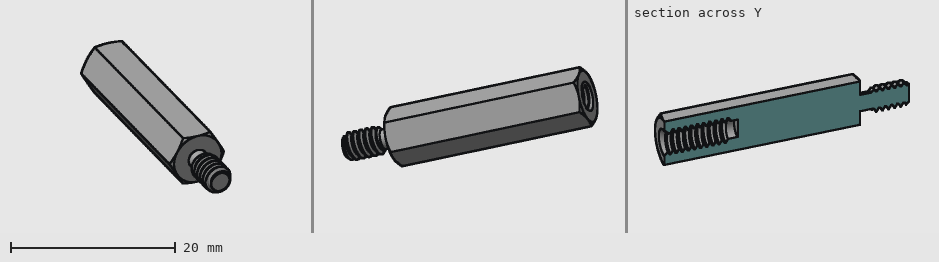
import cadquery as cq
import math


total_length = 31.75
body_length = 25.4
across_flats = 6.35
across_corners = across_flats / math.cos(math.radians(30))
corner_chamfer_angle = 30.0

pitch = 0.8
major_radius = 1.75
minor_radius = 1.222
crest_width = 0.1
flank_half_angle = 30.0
root_overlap = 0.03
stud_crest_x = 27.9

neck_length = 1.4
thread_start = body_length + neck_length
trim_radius = 2.1
trim_rise = trim_radius - minor_radius
trim_length = 4.75

hole_depth = 9.52
hole_thread_start = 0.38
hole_thread_length = 7.95
countersink_radius = 1.8
countersink_depth = countersink_radius - minor_radius


def revolved(profile):
    """Solid of revolution about X from (x, radius) points."""
    return cq.Workplane("XY").polyline(profile).close().revolve(360, (0, 0, 0), (1, 0, 0))


def hex_body():
    hexagon = cq.Workplane("YZ").polygon(6, across_corners).extrude(body_length)
    flat_radius = across_flats / 2
    corner_radius = across_corners / 2
    chamfer = (corner_radius - flat_radius) * math.tan(math.radians(corner_chamfer_angle))
    envelope = revolved([
        (0, 0),
        (0, flat_radius),
        (chamfer, corner_radius),
        (body_length - chamfer, corner_radius),
        (body_length, flat_radius),
        (body_length, 0),
    ])
    return hexagon.intersect(envelope)


def thread_ridge(crest_start, turns):
    """Right-handed ridge around X whose crest starts on the +Z side at crest_start."""
    root_radius = minor_radius - root_overlap
    flank_run = (major_radius - root_radius) * math.tan(math.radians(flank_half_angle))
    half_crest = crest_width / 2
    half_root = half_crest + flank_run
    profile = (
        cq.Workplane("XZ")
        .polyline([
            (root_radius, -half_root),
            (major_radius, -half_crest),
            (major_radius, half_crest),
            (root_radius, half_root),
        ])
        .close()
    )
    helix = cq.Wire.makeHelix(pitch, turns * pitch, minor_radius)
    ridge = profile.sweep(cq.Workplane(obj=helix), isFrenet=True)
    ridge = ridge.rotate((0, 0, 0), (0, 1, 0), 90)
    return ridge.rotate((0, 0, 0), (1, 0, 0), 180).translate((crest_start, 0, 0))


def stud():
    core = (
        cq.Workplane("YZ", origin=(body_length, 0, 0))
        .circle(minor_radius)
        .extrude(total_length - body_length)
    )
    start_cutter = revolved([
        (thread_start - trim_length, 0),
        (thread_start, 0),
        (thread_start, minor_radius),
        (thread_start + trim_rise, trim_radius),
        (thread_start - trim_length, trim_radius),
    ])
    end_cutter = revolved([
        (total_length + trim_length, 0),
        (total_length, 0),
        (total_length, minor_radius),
        (total_length - trim_rise, trim_radius),
        (total_length + trim_length, trim_radius),
    ])
    turns_before = math.ceil((stud_crest_x - thread_start) / pitch) + 1
    turns_after = math.ceil((total_length - stud_crest_x) / pitch) + 1
    ridge = thread_ridge(stud_crest_x - turns_before * pitch, turns_before + turns_after)
    return core.union(ridge.cut(start_cutter).cut(end_cutter))


def tapped_hole():
    drill = cq.Workplane("YZ").circle(minor_radius).extrude(hole_depth)
    countersink = revolved([
        (0, 0),
        (0, countersink_radius),
        (countersink_depth, minor_radius),
        (countersink_depth, 0),
    ])
    ridge = thread_ridge(hole_thread_start, hole_thread_length / pitch)
    return drill.union(ridge).union(countersink)


result = hex_body().cut(tapped_hole()).union(stud())